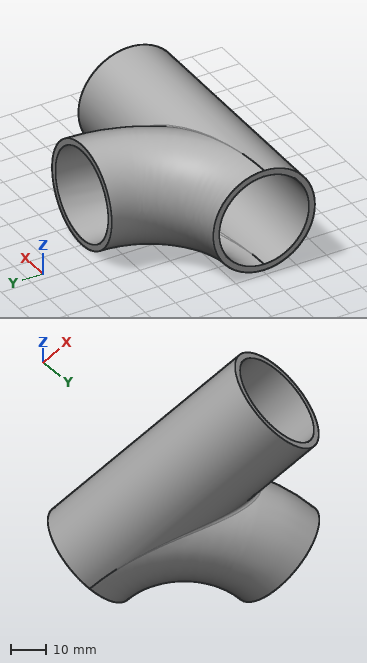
import cadquery as cq

outer_diameter = 33.7
wall_thickness = 2.0
run_length = 76.0
bend_radius = 38.0
outer_blend_radius = 1.0
inner_blend_radius = outer_blend_radius + wall_thickness

tangent_length = 0.2
tangent_bar_width = 4.0

inner_diameter = outer_diameter - 2 * wall_thickness


def run_cylinder(diameter):
    """Straight run along X, turned so that its seam line is on the -Y side."""
    return (
        cq.Workplane("YZ")
        .transformed(rotate=(0, 0, 180))
        .circle(diameter / 2)
        .extrude(run_length)
    )


def branch_bend(diameter):
    """Quarter-turn bend from the start face of the run round to +Y."""
    return (
        cq.Workplane("YZ")
        .circle(diameter / 2)
        .revolve(90, (bend_radius, 0, 0), (bend_radius, 1, 0))
    )


def tee_body(diameter, blend_radius):
    """Solid run and branch of one diameter, joined with a blended crotch."""
    sharp_body = run_cylinder(diameter).union(branch_bend(diameter))

    tangent_bar = (
        cq.Workplane("YZ")
        .rect(tangent_bar_width, 2 * diameter)
        .extrude(tangent_length)
    )
    tangent_pieces = sharp_body.intersect(tangent_bar)
    blended_body = sharp_body.cut(tangent_bar)

    crotch_edges = [
        edge
        for edge in blended_body.edges("%BSPLINE").vals()
        if edge.BoundingBox().xlen > diameter
    ]
    blended_body = blended_body.newObject(crotch_edges).fillet(blend_radius)

    return blended_body.union(tangent_pieces)


outer_body = tee_body(outer_diameter, outer_blend_radius)
bore = tee_body(inner_diameter, inner_blend_radius)

result = outer_body.cut(bore)